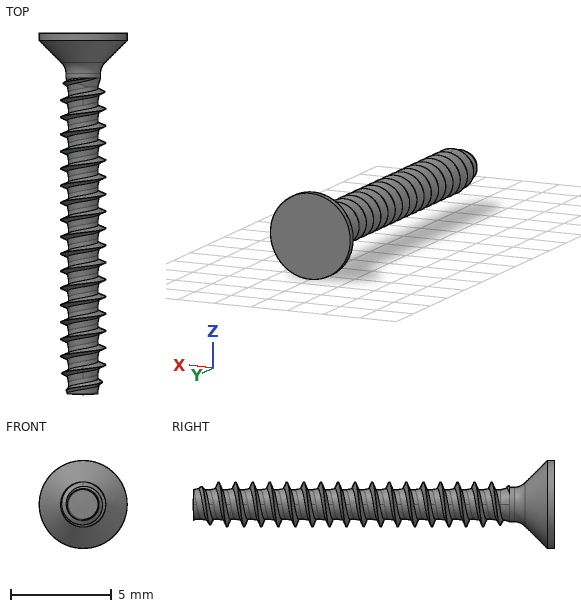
import cadquery as cq
import math

total_length = 18.0

head_radius = 2.2
head_rim = 0.36
neck_radius = 0.86
neck_fillet = 0.75
cone_half_angle = math.radians(45)
neck_end = 15.77
core_start = 15.32

core_radius = 0.74
point_height = 0.04

thread_length = 16.15
thread_turns = 19
fade_turns = 1.5
pitch = thread_length / thread_turns
crest_diameter = 2.25
crest_radius = crest_diameter / 2
root_radius = 0.72
crest_width = 0.02
head_side_foot = 0.171
tip_side_foot = 0.153
shoulder_radius = 0.8
shoulder_end = 0.55
start_angle = 90


def make_body():
    """Head, neck and core as one turned profile (radius, Y)."""
    cone_end_radius = neck_radius + neck_fillet * (1 - math.cos(cone_half_angle))
    cone_start = total_length - head_rim
    cone_end = cone_start - (head_radius - cone_end_radius) / math.tan(cone_half_angle)
    fillet_end = cone_end - neck_fillet * math.sin(cone_half_angle)

    half_arc = cone_half_angle / 2
    fillet_middle = (
        neck_radius + neck_fillet * (1 - math.cos(half_arc)),
        fillet_end + neck_fillet * math.sin(half_arc),
    )
    profile = (
        cq.Workplane("XY")
        .lineTo(core_radius, point_height)
        .lineTo(core_radius, core_start)
        .lineTo(neck_radius, neck_end)
        .lineTo(neck_radius, fillet_end)
        .threePointArc(fillet_middle, (cone_end_radius, cone_end))
        .lineTo(head_radius, cone_start)
        .lineTo(head_radius, total_length)
        .lineTo(0, total_length)
        .close()
    )
    return profile.revolve(360, (0, 0, 0), (0, 1, 0))


def helix(turns, radius_start, radius_end, offset):
    """Helix along +Z, shifted by offset; its radius changes evenly between its ends."""
    height = turns * pitch
    if radius_start == radius_end:
        wire = cq.Wire.makeHelix(pitch, height, radius_start)
    else:
        slope = math.atan2(radius_end - radius_start, height)
        stretch = 1 / math.cos(slope)
        wire = cq.Wire.makeHelix(
            pitch * stretch, height * stretch, radius_start, angle=math.degrees(slope)
        )
    return wire.Edges()[0].translate(cq.Vector(0, 0, offset))


def thread_section(first_turn, turns, crest_start, crest_end):
    """Stretch of thread with a shallow shoulder on its point side; its crest may rise or fall."""
    edges = [
        helix(turns, root_radius, root_radius, -shoulder_end),
        helix(turns, shoulder_radius, shoulder_radius, -tip_side_foot),
        helix(turns, crest_start, crest_end, -crest_width / 2),
        helix(turns, crest_start, crest_end, crest_width / 2),
        helix(turns, root_radius, root_radius, head_side_foot),
    ]
    sides = [cq.Face.makeRuledSurface(edges[i - 1], edges[i]) for i in range(len(edges))]
    caps = []
    for end in (0, 1):
        corners = [edge.positionAt(end) for edge in edges]
        caps.append(cq.Face.makeFromWires(cq.Wire.makePolygon(corners, close=True)))
    section = cq.Solid.makeSolid(cq.Shell.makeShell(sides + caps)).fix()
    turned = section.rotate(cq.Vector(0, 0, 0), cq.Vector(0, 0, 1), start_angle + 360 * first_turn)
    raised = turned.translate(cq.Vector(0, 0, first_turn * pitch))
    return raised.rotate(cq.Vector(0, 0, 0), cq.Vector(1, 0, 0), -90)


full_turns = thread_turns - 2 * fade_turns
sections = [
    thread_section(0, fade_turns, shoulder_radius, crest_radius),
    thread_section(fade_turns, full_turns, crest_radius, crest_radius),
    thread_section(fade_turns + full_turns, fade_turns, crest_radius, neck_radius),
]
thread_zone = (
    cq.Workplane("XZ", origin=(0, point_height, 0))
    .circle(head_radius)
    .extrude(point_height - neck_end)
)

result = make_body()
for section in sections:
    result = result.union(thread_zone.intersect(cq.Workplane(section)))